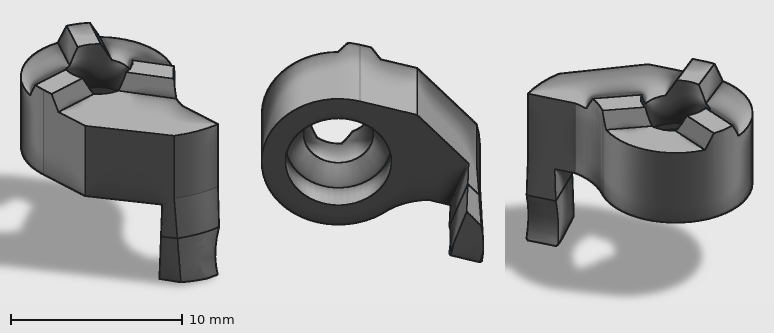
import cadquery as cq
import math


RING_RADIUS = 4.49
BODY_HEIGHT = 4.79
ARM_BACK_Y = 1.15
FLANK_START_X = 3.48
FLANK_END = (7.95, -1.6)
END_FACE_MID = (8.58, -0.13)
END_FACE_BACK_X = 8.82
NECK_ANGLE = 39.4
NECK_MID = (4.53, 1.78)
NECK_END_X = 5.87

BORE_RADIUS = 2.04
SEAT_TOP_Z = 2.82
SEAT_DEPTH = 1.05
HEAD_RADIUS = BORE_RADIUS + SEAT_DEPTH

RIB_HEIGHT = 0.98
RIB_HALF_BASE = 1.27
RIB_SIDE_ANGLE = 30
RIB_HALF_TOP = RIB_HALF_BASE - RIB_HEIGHT * math.tan(math.radians(RIB_SIDE_ANGLE))
RIB_ANGLES = (30, 150, 270)
RIB_LENGTH = 2 * RING_RADIUS

BLADE_TOP_Z = 0.55
BLADE_BOTTOM_Z = -5.38
SPLIT_Z = -2.17
OUTER_FLARE = 0.2
INNER_FLARE = 0.15
INNER_BACK_X = 7.14
ROOT_FILLET = 0.07
INNER_FRONT_X = 7.34

RAKE_DEEPEST = (0.81, -3.98)
RAKE_END_Y = 0.97
BOTTOM_RELIEF_ANGLE = 5.8
NOSE_CHAMFER = 0.12
NOSE_LENGTH = 0.81
NOSE_CUTTER_SIZE = 2.7
FRONT_REACH = 4.05
SIDE_REACH = 13.49


def circle_through(a, b, c):
    """Centre and radius of the circle through three points."""
    d = 2 * (a[0] * (b[1] - c[1]) + b[0] * (c[1] - a[1]) + c[0] * (a[1] - b[1]))
    sq_a, sq_b, sq_c = (p[0] ** 2 + p[1] ** 2 for p in (a, b, c))
    x = (sq_a * (b[1] - c[1]) + sq_b * (c[1] - a[1]) + sq_c * (a[1] - b[1])) / d
    y = (sq_a * (c[0] - b[0]) + sq_b * (a[0] - c[0]) + sq_c * (b[0] - a[0])) / d
    return x, y, math.hypot(a[0] - x, a[1] - y)


END_X, END_Y, END_RADIUS = circle_through(FLANK_END, END_FACE_MID, (END_FACE_BACK_X, ARM_BACK_Y))
FLANK_SLOPE = (FLANK_END[1] + RING_RADIUS) / (FLANK_END[0] - FLANK_START_X)


def flank_y(x):
    """Y of the slanted flank at a given X."""
    return -RING_RADIUS + FLANK_SLOPE * (x - FLANK_START_X)


def end_face_points(flare):
    """Front, middle and back points of the end face arc, moved outward by flare."""
    radius = END_RADIUS + flare
    offset = flank_y(0) - END_Y
    a = 1 + FLANK_SLOPE ** 2
    b = FLANK_SLOPE * offset - END_X
    c = END_X ** 2 + offset ** 2 - radius ** 2
    front_x = (-b + math.sqrt(b ** 2 - a * c)) / a
    front = (front_x, flank_y(front_x))
    back = (END_X + math.sqrt(radius ** 2 - (ARM_BACK_Y - END_Y) ** 2), ARM_BACK_Y)
    start = math.atan2(front[1] - END_Y, front[0] - END_X)
    stop = math.atan2(back[1] - END_Y, back[0] - END_X)
    half = (start + stop) / 2
    middle = (END_X + radius * math.cos(half), END_Y + radius * math.sin(half))
    return front, middle, back


def holder_outline():
    front, middle, back = end_face_points(0)
    neck = math.radians(NECK_ANGLE)
    neck_start = (RING_RADIUS * math.cos(neck), RING_RADIUS * math.sin(neck))
    return (
        cq.Workplane("XY")
        .moveTo(0, -RING_RADIUS)
        .lineTo(FLANK_START_X, -RING_RADIUS)
        .lineTo(*front)
        .threePointArc(middle, back)
        .lineTo(NECK_END_X, ARM_BACK_Y)
        .threePointArc(NECK_MID, neck_start)
        .threePointArc((-RING_RADIUS, 0), (0, -RING_RADIUS))
        .close()
    )


def make_rib(angle):
    """Trapezoidal rib running outward from the bore axis."""
    return (
        cq.Workplane("YZ")
        .polyline([
            (-RIB_HALF_BASE, BODY_HEIGHT),
            (RIB_HALF_BASE, BODY_HEIGHT),
            (RIB_HALF_TOP, BODY_HEIGHT + RIB_HEIGHT),
            (-RIB_HALF_TOP, BODY_HEIGHT + RIB_HEIGHT),
        ])
        .close()
        .extrude(RIB_LENGTH)
        .rotate((0, 0, 0), (0, 0, 1), angle)
    )


def make_screw_hole():
    """Bore with a conical seat and a wider head recess below it."""
    return (
        cq.Workplane("XZ")
        .polyline([
            (0, 0),
            (HEAD_RADIUS, 0),
            (HEAD_RADIUS, SEAT_TOP_Z - SEAT_DEPTH),
            (BORE_RADIUS, SEAT_TOP_Z),
            (BORE_RADIUS, BODY_HEIGHT + RIB_HEIGHT),
            (0, BODY_HEIGHT + RIB_HEIGHT),
        ])
        .close()
        .revolve(360, (0, 0), (0, 1))
    )


def blade_section(z):
    """Horizontal outline of the blade at height z."""
    outer_flare = OUTER_FLARE * (BLADE_TOP_Z - z) / (BLADE_TOP_Z - BLADE_BOTTOM_Z)
    inner_flare = INNER_FLARE * z / BLADE_BOTTOM_Z
    front, middle, back = end_face_points(outer_flare)
    inner_front_x = INNER_FRONT_X - inner_flare
    return (
        cq.Workplane("XY", origin=(0, 0, z))
        .moveTo(inner_front_x, flank_y(inner_front_x))
        .lineTo(*front)
        .threePointArc(middle, back)
        .lineTo(INNER_BACK_X - inner_flare, ARM_BACK_Y)
        .close()
        .wires()
        .val()
    )


def blade_part(top_z, bottom_z):
    wires = [blade_section(top_z), blade_section(bottom_z)]
    return cq.Workplane(cq.Solid.makeLoft(wires, True))


def make_holder():
    blank = holder_outline().extrude(BODY_HEIGHT)
    rib_limit = holder_outline().extrude(BODY_HEIGHT + RIB_HEIGHT)
    for angle in RIB_ANGLES:
        blank = blank.union(make_rib(angle).intersect(rib_limit))
    body = blank.cut(make_screw_hole()).union(blade_part(BLADE_TOP_Z, SPLIT_Z))
    root_x = (INNER_BACK_X + INNER_FRONT_X) / 2
    root_y = (ARM_BACK_Y + flank_y(INNER_FRONT_X)) / 2
    return body.edges(cq.NearestToPointSelector((root_x, root_y, 0))).fillet(ROOT_FILLET)


def nose_cutter(back_x, front_x, inward):
    """Block whose sloping face trims a bottom corner, fading out NOSE_LENGTH in front of the back.

    The trimmed bottom edge runs from back_x to front_x; inward is +1 or -1, toward the blade middle.
    """
    fade_rise = NOSE_LENGTH * math.tan(math.radians(BOTTOM_RELIEF_ANGLE))
    on_side = cq.Vector(back_x, RAKE_END_Y, BLADE_BOTTOM_Z + NOSE_CHAMFER)
    on_bottom = cq.Vector(back_x + inward * NOSE_CHAMFER, RAKE_END_Y, BLADE_BOTTOM_Z)
    fade_out = cq.Vector(front_x, RAKE_END_Y - NOSE_LENGTH, BLADE_BOTTOM_Z + fade_rise)
    normal = (on_bottom - on_side).cross(fade_out - on_side)
    if normal.z > 0:
        normal = normal * -1
    face = cq.Plane(origin=on_side, normal=normal)
    return cq.Workplane(face).rect(NOSE_CUTTER_SIZE, NOSE_CUTTER_SIZE).extrude(NOSE_CUTTER_SIZE)


def inner_face_x(y):
    """X of the inner blade face at its bottom end."""
    share = (ARM_BACK_Y - y) / (ARM_BACK_Y - flank_y(INNER_FRONT_X))
    return INNER_BACK_X + share * (INNER_FRONT_X - INNER_BACK_X) - INNER_FLARE


def outer_face_x(y):
    """X of the outer blade face at its bottom end."""
    return END_X + math.sqrt((END_RADIUS + OUTER_FLARE) ** 2 - (y - END_Y) ** 2)


def make_tip():
    """Lower blade with a hollow rake face, a sloping bottom and trimmed nose corners."""
    front_rise = (RAKE_END_Y + FRONT_REACH) * math.tan(math.radians(BOTTOM_RELIEF_ANGLE))
    side_profile = (
        cq.Workplane("YZ")
        .moveTo(ARM_BACK_Y, SPLIT_Z)
        .threePointArc(RAKE_DEEPEST, (RAKE_END_Y, BLADE_BOTTOM_Z))
        .lineTo(-FRONT_REACH, BLADE_BOTTOM_Z + front_rise)
        .lineTo(-FRONT_REACH, SPLIT_Z)
        .close()
        .extrude(SIDE_REACH)
    )
    blank = blade_part(SPLIT_Z, BLADE_BOTTOM_Z).intersect(side_profile)
    for face_x, inward in ((inner_face_x, 1), (outer_face_x, -1)):
        back_x = face_x(RAKE_END_Y)
        front_x = face_x(RAKE_END_Y - NOSE_LENGTH)
        blank = blank.cut(nose_cutter(back_x, front_x, inward))
    return blank


holder = make_holder()
tip = make_tip()
result = cq.Compound.makeCompound([holder.val(), tip.val()])